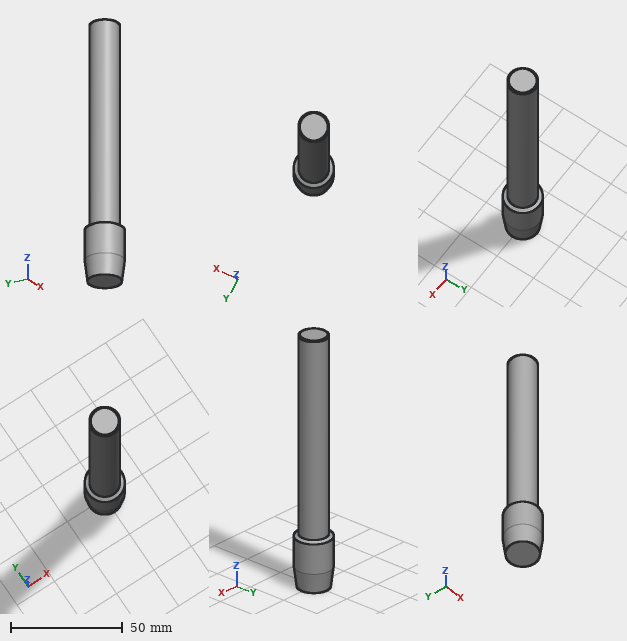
import cadquery as cq

total_length = 125.0
shaft_radius = 6.9
shaft_chamfer_width = 0.6
shaft_chamfer_height = 0.5
collar_radius = 9.0
collar_height = 26.0
collar_foot_radius = 7.8
shoulder_drop = 1.1
taper_height = 10.0

socket_floor = taper_height


def make_shaft():
    """Round shaft standing on the socket floor, with a small chamfer on its top end."""
    return (
        cq.Workplane("XZ")
        .moveTo(0, socket_floor)
        .lineTo(shaft_radius, socket_floor)
        .lineTo(shaft_radius, total_length - shaft_chamfer_height)
        .lineTo(shaft_radius - shaft_chamfer_width, total_length)
        .lineTo(0, total_length)
        .close()
        .revolve(360, (0, 0), (0, 1))
    )


def make_collar():
    """Collar with a solid tapered foot, a sloping shoulder and a blind socket for the shaft."""
    return (
        cq.Workplane("XZ")
        .lineTo(collar_foot_radius, 0)
        .lineTo(collar_radius, taper_height)
        .lineTo(collar_radius, collar_height - shoulder_drop)
        .lineTo(shaft_radius, collar_height)
        .lineTo(shaft_radius, socket_floor)
        .lineTo(0, socket_floor)
        .close()
        .revolve(360, (0, 0), (0, 1))
    )


shaft = make_shaft()
collar = make_collar()

result = cq.Compound.makeCompound([shaft.val(), collar.val()])